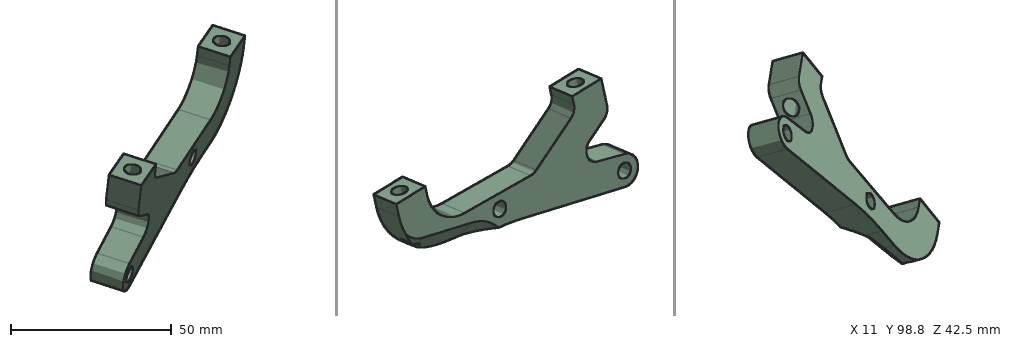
import cadquery as cq
import math


THICKNESS = 11.0
EYE_RADIUS = 5.5
HOLE_DIAMETER = 5.2
FRAME_HOLE_SPACING = 51.0

LENGTH = 98.8
PAD_TILT = 14.0
PAD_WIDTH = 12.25
PAD_SPACING = 74.1
FAR_PAD_TIP_Z = 12.25
BOLT_HOLE_DEPTH = 24.7

ARM_SLOPE = 12.0
NECK_SLOPE = 44.0
NECK_WIDTH = 12.1
EYE_TOP_TAPER = 1.5
THROAT = (37.0, 8.3)
BELLY_BEND_Y = 50.0

BELLY_BEND_RADIUS = 79.0
HOOK_OUTER_RADIUS = 22.5
HOOK_INNER_RADIUS = 12.8
THROAT_RADIUS = 4.9
NECK_RADIUS = 4.4
HEEL_RADIUS = 4.4
CROTCH_RADIUS = 4.5

RELIEF_TOP_Z = -1.7
RELIEF_NEAR_Y = 62.1
RELIEF_FAR_Y = 82.1
RELIEF_NEAR_RADIUS = 14.8
RELIEF_FAR_RADIUS = 10.9


def heading(angle):
    """Unit (y, z) direction at an angle in degrees from +Y toward +Z."""
    return math.cos(math.radians(angle)), math.sin(math.radians(angle))


def shift(point, direction, distance):
    return point[0] + direction[0] * distance, point[1] + direction[1] * distance


def meet(point_a, dir_a, point_b, dir_b):
    """Intersection of two lines, each given by a point and a direction."""
    cross = dir_a[0] * dir_b[1] - dir_a[1] * dir_b[0]
    gap = (point_b[0] - point_a[0], point_b[1] - point_a[1])
    return shift(point_a, dir_a, (gap[0] * dir_b[1] - gap[1] * dir_b[0]) / cross)


def direction_to(start, end):
    span = math.dist(start, end)
    return (end[0] - start[0]) / span, (end[1] - start[1]) / span


def round_corner(profile, before, corner, after, radius):
    """Draw to a corner and around it with an arc tangent to both of its sides."""
    to_before = direction_to(corner, before)
    to_after = direction_to(corner, after)
    half_angle = math.acos(to_before[0] * to_after[0] + to_before[1] * to_after[1]) / 2
    tangent_length = radius / math.tan(half_angle)
    arc_start = shift(corner, to_before, tangent_length)
    arc_end = shift(corner, to_after, tangent_length)
    chord_middle = ((arc_start[0] + arc_end[0]) / 2, (arc_start[1] + arc_end[1]) / 2)
    arc_middle = shift(corner, direction_to(corner, chord_middle), radius / math.sin(half_angle) - radius)
    return profile.lineTo(*arc_start).threePointArc(arc_middle, arc_end)


pad_line = heading(180 - PAD_TILT)
bolt_axis = heading(-90 - PAD_TILT)
arm_line = heading(-ARM_SLOPE)
neck_line = heading(180 - NECK_SLOPE)

far_pad_tip = (LENGTH - EYE_RADIUS, FAR_PAD_TIP_Z)
far_pad_inner = shift(far_pad_tip, pad_line, PAD_WIDTH)
near_pad_inner = shift(far_pad_tip, pad_line, PAD_SPACING)
near_pad_tip = shift(near_pad_inner, pad_line, PAD_WIDTH)

eye_bottom = (0, -EYE_RADIUS)
eye_top = shift((0, 0), heading(90 + EYE_TOP_TAPER), EYE_RADIUS)
neck_underside = shift(THROAT, heading(-90 - NECK_SLOPE), NECK_WIDTH)

belly_bend = (BELLY_BEND_Y, -EYE_RADIUS)
hook_outer = meet(belly_bend, arm_line, far_pad_tip, bolt_axis)
hook_inner = meet(THROAT, arm_line, far_pad_inner, bolt_axis)
neck = meet(THROAT, neck_line, near_pad_inner, bolt_axis)
heel = meet(neck_underside, neck_line, near_pad_tip, bolt_axis)
crotch = meet(neck_underside, neck_line, eye_top, heading(EYE_TOP_TAPER))


def plate():
    corners = [
        (eye_bottom, 0),
        (belly_bend, BELLY_BEND_RADIUS),
        (hook_outer, HOOK_OUTER_RADIUS),
        (far_pad_tip, 0),
        (far_pad_inner, 0),
        (hook_inner, HOOK_INNER_RADIUS),
        (THROAT, THROAT_RADIUS),
        (neck, NECK_RADIUS),
        (near_pad_inner, 0),
        (near_pad_tip, 0),
        (heel, HEEL_RADIUS),
        (crotch, CROTCH_RADIUS),
        (eye_top, 0),
    ]
    profile = cq.Workplane("YZ").moveTo(*eye_bottom)
    for index in range(1, len(corners)):
        corner, radius = corners[index]
        if radius:
            before = corners[index - 1][0]
            after = corners[index + 1][0]
            profile = round_corner(profile, before, corner, after, radius)
        else:
            profile = profile.lineTo(*corner)
    return profile.threePointArc((-EYE_RADIUS, 0), eye_bottom).close().extrude(THICKNESS)


def frame_holes():
    centers = [(0, 0), (FRAME_HOLE_SPACING, 0)]
    return cq.Workplane("YZ").pushPoints(centers).circle(HOLE_DIAMETER / 2).extrude(THICKNESS)


def bolt_hole(pad_start):
    """Hole square to a pad, from the middle of its face out through the far side."""
    center = shift(pad_start, pad_line, PAD_WIDTH / 2)
    return cq.Solid.makeCylinder(
        HOLE_DIAMETER / 2,
        BOLT_HOLE_DEPTH,
        cq.Vector(THICKNESS / 2, *center),
        cq.Vector(0, *bolt_axis),
    )


def relief():
    """Sloped cut whose upper edge is straight, with a rounded run-out at each end."""
    x_axis = cq.Vector(1, 0, 0)
    straight = (
        cq.Workplane("XZ", origin=(0, RELIEF_NEAR_Y, RELIEF_TOP_Z))
        .polyline([(0, 0), (THICKNESS, -THICKNESS), (0, -THICKNESS)])
        .close()
        .extrude(RELIEF_NEAR_Y - RELIEF_FAR_Y)
    )
    near_center = cq.Vector(0, RELIEF_NEAR_Y, RELIEF_TOP_Z - RELIEF_NEAR_RADIUS)
    near_end = cq.Solid.makeCone(RELIEF_NEAR_RADIUS, 0, RELIEF_NEAR_RADIUS, near_center, x_axis)
    far_center = cq.Vector(0, RELIEF_FAR_Y, RELIEF_TOP_Z + RELIEF_FAR_RADIUS)
    far_core = cq.Solid.makeCone(
        RELIEF_FAR_RADIUS, RELIEF_FAR_RADIUS + THICKNESS, THICKNESS, far_center, x_axis
    )
    far_end = (
        cq.Workplane("XY", origin=(0, RELIEF_FAR_Y, RELIEF_TOP_Z - RELIEF_FAR_RADIUS))
        .box(THICKNESS, RELIEF_FAR_RADIUS, 2 * RELIEF_FAR_RADIUS, centered=False)
        .cut(cq.Workplane(far_core))
    )
    return straight.union(far_end).union(cq.Workplane(near_end))


result = plate().cut(frame_holes()).cut(relief())
for pad_start in (far_pad_tip, near_pad_inner):
    result = result.cut(cq.Workplane(bolt_hole(pad_start)))